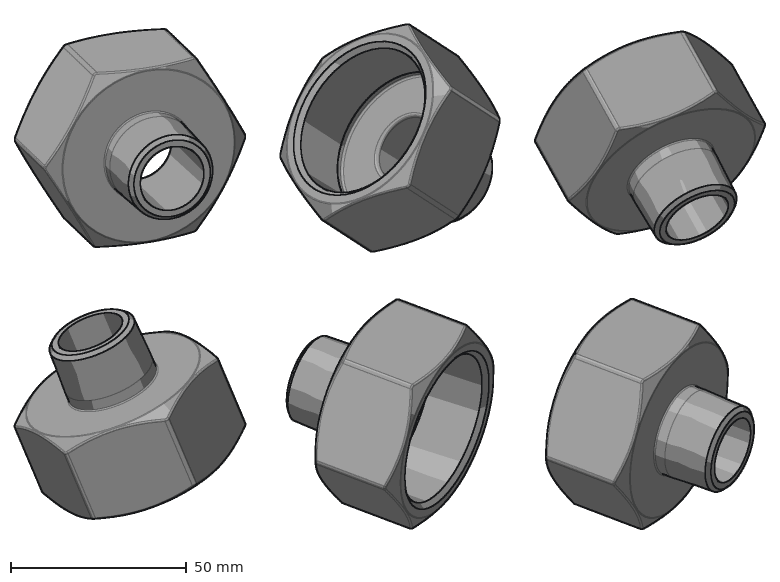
import cadquery as cq
import math

corner_span = 61.9
corner_radius = 1.5
total_length = 46.0
hex_length = 28.0

end_face_dia = 52.85
bevel_angle = 30.0
bevel_blend = 0.6
flat_blend = 0.7

socket_mouth_dia = 47.8
socket_dia = 44.9
socket_depth = 20.4
relief_dia = 45.05
relief_length = 2.0
socket_bottom_radius = 0.6

hole_dia = 19.5
hole_lip_radius = 1.05

spigot_dia = 26.75
spigot_straight_length = 3.5
spigot_root_radius = 0.4
spigot_tip_dia = 25.8
spigot_tip_chamfer = 1.2

corner_secant = 1 / math.cos(math.radians(30))
sharp_span = corner_span + 2 * corner_radius * (corner_secant - 1)


def revolve_about_x(profile):
    """Turn a closed profile, drawn as X against radius, about the X axis."""
    return profile.close().revolve(360, (0, 0, 0), (1, 0, 0))


def make_bevel_envelope():
    """Turned blank whose two cones bevel the hexagon corners."""
    face_radius = end_face_dia / 2
    outer_radius = sharp_span / 2
    bevel_length = (outer_radius - face_radius) * math.tan(math.radians(bevel_angle))
    blank = revolve_about_x(
        cq.Workplane("XY")
        .lineTo(0, face_radius)
        .lineTo(bevel_length, outer_radius)
        .lineTo(hex_length - bevel_length, outer_radius)
        .lineTo(hex_length, face_radius)
        .lineTo(hex_length, 0)
    )
    return blank.faces("<X or >X").edges().fillet(bevel_blend)


def make_hexagon():
    """Hexagonal body with rounded corners, bevelled and blended at both ends."""
    prism = cq.Workplane("YZ").polygon(6, sharp_span).extrude(hex_length)
    prism = prism.edges("|X").fillet(corner_radius)
    body = prism.intersect(make_bevel_envelope())
    return body.faces("#X").edges("not |X").fillet(flat_blend)


def make_spigot():
    """Short straight neck followed by a gentle taper with a chamfered tip."""
    taper_start = hex_length + spigot_straight_length
    spigot = revolve_about_x(
        cq.Workplane("XY")
        .moveTo(hex_length, 0)
        .lineTo(hex_length, spigot_dia / 2)
        .lineTo(taper_start, spigot_dia / 2)
        .lineTo(total_length, spigot_tip_dia / 2)
        .lineTo(total_length, 0)
    )
    return spigot.faces(">X").edges().chamfer(spigot_tip_chamfer)


def make_socket():
    """Socket cutter with a 45 degree mouth bevel, a bottom relief and a rounded bottom edge."""
    mouth_bevel = (socket_mouth_dia - socket_dia) / 2
    relief_start = socket_depth - relief_length
    socket = revolve_about_x(
        cq.Workplane("XY")
        .lineTo(0, socket_mouth_dia / 2)
        .lineTo(mouth_bevel, socket_dia / 2)
        .lineTo(relief_start, socket_dia / 2)
        .lineTo(relief_start, relief_dia / 2)
        .lineTo(socket_depth, relief_dia / 2)
        .lineTo(socket_depth, 0)
    )
    return socket.faces(">X").edges().fillet(socket_bottom_radius)


def make_hole():
    """Through-hole cutter that flares over a rounded lip at the socket bottom."""
    hole_radius = hole_dia / 2
    lip_end = socket_depth + hole_lip_radius
    return revolve_about_x(
        cq.Workplane("XY")
        .moveTo(socket_depth, 0)
        .lineTo(socket_depth, hole_radius + hole_lip_radius)
        .radiusArc((lip_end, hole_radius), -hole_lip_radius)
        .lineTo(total_length, hole_radius)
        .lineTo(total_length, 0)
    )


def make_spigot_root():
    """Fillet ring between the hexagon end face and the spigot."""
    neck_radius = spigot_dia / 2
    return revolve_about_x(
        cq.Workplane("XY")
        .moveTo(hex_length, hole_dia / 2)
        .lineTo(hex_length, neck_radius + spigot_root_radius)
        .radiusArc((hex_length + spigot_root_radius, neck_radius), -spigot_root_radius)
        .lineTo(hex_length + spigot_root_radius, hole_dia / 2)
    )


result = (
    make_hexagon()
    .union(make_spigot())
    .union(make_spigot_root())
    .cut(make_socket())
    .cut(make_hole())
)